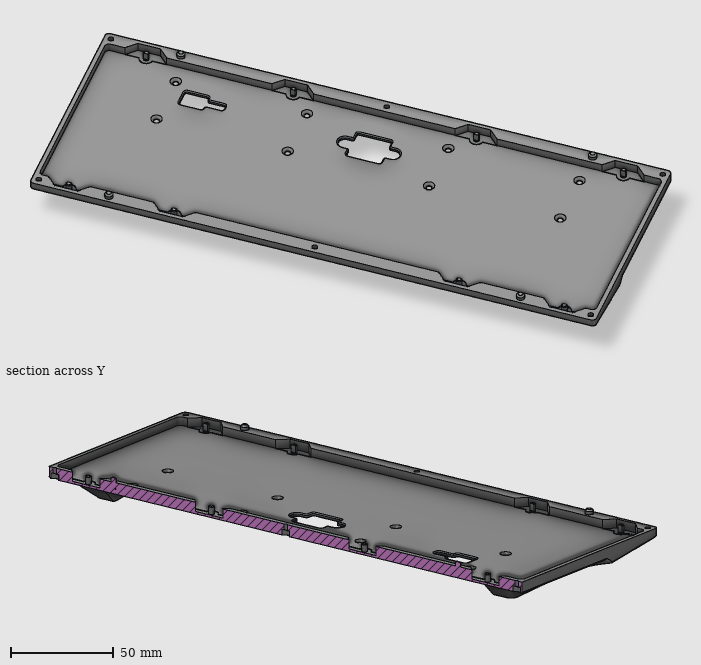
import cadquery as cq
import math

LENGTH = 293.7
WIDTH = 112.5
PEG_HEIGHT = 2.5
TOTAL_HEIGHT = 18.5
CORNER_RADIUS = 2.0
SLAB_DEPTH = 6.2
FRONT_DEPTH = 4.7
BOTTOM_CHAMFER = 1.0

FLOOR_DEPTH = 4.5
SIDE_WALL = 2.3
LONG_WALL = 7.0
CAVITY_RADIUS = 2.3
POCKET_DEPTH = 4.7
POCKET_OUTER_WIDTH = 11.7
POCKET_INNER_WIDTH = 21.7
POCKET_EDGE_MARGIN = 2.0
LOBE_DIAMETER = 7.0
POST_DIAMETER = 3.0
POST_TOP_DEPTH = 0.5
POST_CHAMFER = 0.45
POST_Y = 50.0
BACK_POST_X = (47.5, 124.0)
FRONT_POST_X = (74.0, 128.5)

FOOT_DEPTH = TOTAL_HEIGHT - PEG_HEIGHT
FOOT_BACK_Y = 37.5
FOOT_SLOPE_Y = 34.7
DRAFT_ANGLE = 45.0
WEDGE_TOP_DEPTH = SLAB_DEPTH - BOTTOM_CHAMFER
WEDGE_BACK_Y = FOOT_BACK_Y + FOOT_DEPTH - WEDGE_TOP_DEPTH
WEDGE_HALF_LENGTH = 140.5
WEDGE_SHOULDER_Y = -24.7
SHOULDER_RADIUS = 26.5
WEDGE_CORNER_RADIUS = 6.0
GAP_HALF_LENGTH = 117.8
GAP_FRONT_Y = 1.2
GAP_CORNER_RADIUS = 3.0

SCREW_X = 143.3
SCREW_Y = 52.72
SCREW_DIAMETER = 2.7
SCREW_HEAD_DIAMETER = 5.0
SCREW_HEAD_RECESS = 3.0
PEG_X = 107.0
PEG_DIAMETER = 4.0
PEG_CHAMFER = 1.0
PAD_DIAMETER = 8.2
PAD_X = 133.5
PAD_Y = -48.2
PAD_RECESS = 0.5
MOUNT_X = (36.7, 104.9)
MOUNT_Y = (11.2, 39.5)
MOUNT_DIAMETER = 3.0
MOUNT_HEAD_DIAMETER = 5.5

OPENING_RADIUS = 1.2
OPENING_CHAMFER = 0.5
CONNECTOR_Y = 26.7
CONNECTOR_LENGTH = 18.2
CONNECTOR_WIDTH = 17.0
CONNECTOR_EAR_LENGTH = 32.0
CONNECTOR_EAR_WIDTH = 7.0
SWITCH_X = -98.5
SWITCH_Y = 30.0
SWITCH_LENGTH = 12.5
SWITCH_WIDTH = 9.7
SWITCH_NECK_LENGTH = 9.7
SWITCH_NECK_WIDTH = 4.0

SLOPE = (FOOT_DEPTH - FRONT_DEPTH) / (WIDTH / 2 + FOOT_SLOPE_Y)


def mirrored(values):
    """Each distance on both sides of the centre."""
    return [sign * value for value in values for sign in (-1, 1)]


def underside_depth(y):
    """Depth of the sloping underside at a given Y."""
    return FRONT_DEPTH + SLOPE * (y + WIDTH / 2)


def block(length, width, top, bottom):
    """Centred rectangular block between two depths below the rim."""
    return (cq.Workplane("XY").workplane(offset=-bottom)
            .rect(length, width).extrude(bottom - top))


def cylinders(points, diameter, top, bottom):
    """Upright cylinders between two depths below the rim."""
    return (cq.Workplane("XY").workplane(offset=-bottom)
            .pushPoints(points).circle(diameter / 2).extrude(bottom - top))


def make_wedge():
    """Drafted block that widens to the full length at the front."""
    far_x = LENGTH
    far_y = -WIDTH
    straight_y = WEDGE_SHOULDER_Y + SHOULDER_RADIUS
    arc_x = WEDGE_HALF_LENGTH + SHOULDER_RADIUS
    arc_mid = SHOULDER_RADIUS * math.sqrt(0.5)
    outline = (cq.Workplane("XY").workplane(offset=-WEDGE_TOP_DEPTH)
               .moveTo(far_x, far_y)
               .lineTo(far_x, WEDGE_SHOULDER_Y)
               .lineTo(arc_x, WEDGE_SHOULDER_Y)
               .threePointArc((arc_x - arc_mid, straight_y - arc_mid),
                              (WEDGE_HALF_LENGTH, straight_y))
               .lineTo(WEDGE_HALF_LENGTH, WEDGE_BACK_Y)
               .lineTo(-WEDGE_HALF_LENGTH, WEDGE_BACK_Y)
               .lineTo(-WEDGE_HALF_LENGTH, straight_y)
               .threePointArc((arc_mid - arc_x, straight_y - arc_mid),
                              (-arc_x, WEDGE_SHOULDER_Y))
               .lineTo(-far_x, WEDGE_SHOULDER_Y)
               .lineTo(-far_x, far_y)
               .close())
    wedge = outline.extrude(WEDGE_TOP_DEPTH - FOOT_DEPTH, taper=DRAFT_ANGLE)
    back_corners = cq.selectors.BoxSelector(
        (-LENGTH / 2, FOOT_BACK_Y, -FOOT_DEPTH), (LENGTH / 2, WEDGE_BACK_Y, -WEDGE_TOP_DEPTH))
    return wedge.edges(back_corners).edges("not(#Z or |X)").fillet(WEDGE_CORNER_RADIUS)


def make_body():
    """Solid tray and wedge, trimmed by the sloping underside, with the gap between the feet."""
    front_y = -WIDTH / 2
    back_y = WIDTH / 2
    envelope = (cq.Workplane("YZ").workplane(offset=-LENGTH / 2)
                .polyline([(front_y, 0), (front_y, -FRONT_DEPTH),
                           (back_y, -underside_depth(back_y)), (back_y, 0)])
                .close().extrude(LENGTH)
                .edges("|Z").fillet(CORNER_RADIUS)
                .faces("<Z").edges().chamfer(BOTTOM_CHAMFER))
    slab = (block(LENGTH, WIDTH, 0, SLAB_DEPTH)
            .edges("|Z").fillet(CORNER_RADIUS)
            .faces("<Z").edges().chamfer(BOTTOM_CHAMFER))
    body = slab.union(make_wedge()).intersect(envelope)
    gap_width = back_y - GAP_FRONT_Y
    gap = (block(2 * GAP_HALF_LENGTH, gap_width, SLAB_DEPTH, FOOT_DEPTH)
           .translate((0, GAP_FRONT_Y + gap_width / 2, 0))
           .edges("|Z and <Y").fillet(GAP_CORNER_RADIUS))
    return body.cut(gap)


def make_pockets():
    """Trapezoid recesses around the posts, each with a round lobe into the floor."""
    inner_y = WIDTH / 2 - LONG_WALL
    outer_y = WIDTH / 2 - POCKET_EDGE_MARGIN
    centres = [(x, 1) for x in mirrored(BACK_POST_X)]
    centres += [(x, -1) for x in mirrored(FRONT_POST_X)]
    pockets = cylinders([(x, side * POST_Y) for x, side in centres], LOBE_DIAMETER, 0, POCKET_DEPTH)
    for x, side in centres:
        trapezoid = (cq.Workplane("XY").workplane(offset=-POCKET_DEPTH)
                     .polyline([(x - POCKET_INNER_WIDTH / 2, side * inner_y),
                                (x - POCKET_OUTER_WIDTH / 2, side * outer_y),
                                (x + POCKET_OUTER_WIDTH / 2, side * outer_y),
                                (x + POCKET_INNER_WIDTH / 2, side * inner_y)])
                     .close().extrude(POCKET_DEPTH))
        pockets = pockets.union(trapezoid)
    posts = cylinders([(x, side * POST_Y) for x, side in centres],
                      POST_DIAMETER, POST_TOP_DEPTH, POCKET_DEPTH)
    posts = posts.faces(">Z").edges().chamfer(POST_CHAMFER)
    return pockets.cut(posts)


def make_cavity():
    """Shallow tray interior."""
    return (block(LENGTH - 2 * SIDE_WALL, WIDTH - 2 * LONG_WALL, 0, FLOOR_DEPTH)
            .edges("|Z").fillet(CAVITY_RADIUS))


def make_openings():
    """Connector opening with round ears, and the stepped switch opening."""
    top = FLOOR_DEPTH
    bottom = FOOT_DEPTH
    ears = (cq.Workplane("XY").workplane(offset=-bottom)
            .slot2D(CONNECTOR_EAR_LENGTH, CONNECTOR_EAR_WIDTH).extrude(bottom - top))
    corner_reach = CONNECTOR_LENGTH / 2 + OPENING_RADIUS / 2
    corners = cq.selectors.BoxSelector(
        (-corner_reach, -WIDTH, -bottom), (corner_reach, WIDTH, -top))
    connector = (block(CONNECTOR_LENGTH, CONNECTOR_WIDTH, top, bottom).union(ears)
                 .edges(corners).edges("|Z").fillet(OPENING_RADIUS)
                 .translate((0, CONNECTOR_Y, 0)))
    neck_length = SWITCH_LENGTH + SWITCH_NECK_LENGTH
    neck = (block(neck_length, SWITCH_NECK_WIDTH, top, bottom)
            .translate((SWITCH_NECK_LENGTH / 2, 0, 0)))
    switch = (block(SWITCH_LENGTH, SWITCH_WIDTH, top, bottom).union(neck)
              .edges("|Z").fillet(OPENING_RADIUS)
              .translate((SWITCH_X + SWITCH_LENGTH / 2, SWITCH_Y, 0)))
    openings = connector.union(switch)
    for rim in openings.faces(">Z").wires().vals():
        bevel = (cq.Workplane("XY").workplane(offset=-top).add(rim.offset2D(OPENING_CHAMFER))
                 .toPending().extrude(-OPENING_CHAMFER, taper=DRAFT_ANGLE))
        openings = openings.union(bevel)
    return openings


def make_screw_holes():
    """Through holes along the rim with head recesses from below."""
    holes = cq.Workplane("XY")
    for y in (-SCREW_Y, SCREW_Y):
        points = [(x, y) for x in (-SCREW_X, 0, SCREW_X)]
        head_top = min(SLAB_DEPTH, underside_depth(y)) - SCREW_HEAD_RECESS
        holes = holes.union(cylinders(points, SCREW_DIAMETER, 0, FOOT_DEPTH))
        holes = holes.union(cylinders(points, SCREW_HEAD_DIAMETER, head_top, FOOT_DEPTH))
    return holes


def make_mount_holes():
    """Countersunk holes through the floor."""
    points = [(x, y) for x in mirrored(MOUNT_X) for y in MOUNT_Y]
    sink_depth = (MOUNT_HEAD_DIAMETER - MOUNT_DIAMETER) / 2
    sinks = (cq.Workplane("XY").workplane(offset=-FLOOR_DEPTH).pushPoints(points)
             .circle(MOUNT_HEAD_DIAMETER / 2).extrude(-sink_depth, taper=DRAFT_ANGLE))
    return sinks.union(cylinders(points, MOUNT_DIAMETER, FLOOR_DEPTH, FOOT_DEPTH))


def make_pad_recesses():
    """Shallow round recesses in the sloping underside near the front corners."""
    points = [(x, PAD_Y) for x in mirrored([PAD_X])]
    top = underside_depth(PAD_Y) - PAD_RECESS
    return cylinders(points, PAD_DIAMETER, top, FOOT_DEPTH)


def make_pegs():
    """Chamfered locating pegs on the rim."""
    points = [(x, y) for x in mirrored([PEG_X]) for y in mirrored([SCREW_Y])]
    pegs = cylinders(points, PEG_DIAMETER, -PEG_HEIGHT, FLOOR_DEPTH / 2)
    return pegs.faces(">Z").edges().chamfer(PEG_CHAMFER)


result = make_body()
for cutter in (make_cavity(), make_pockets(), make_openings(), make_screw_holes(),
               make_mount_holes(), make_pad_recesses()):
    result = result.cut(cutter)
result = result.union(make_pegs())